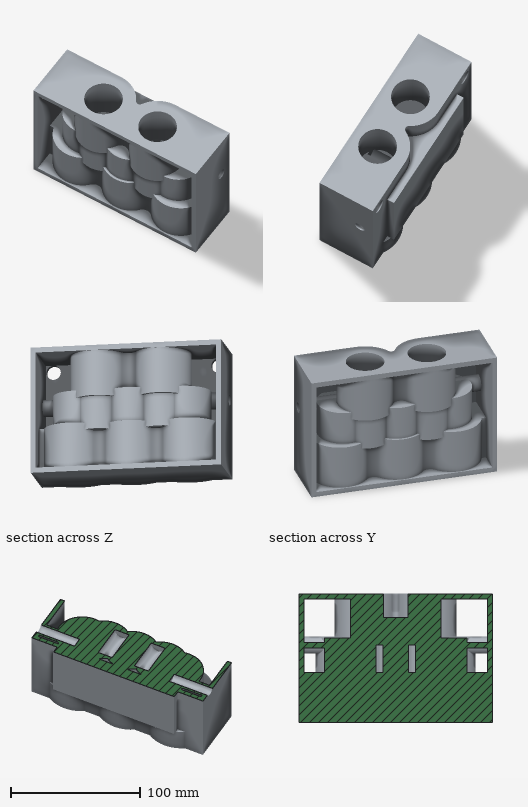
import cadquery as cq
import math

WIDTH = 150.0
DEPTH = 48.0
HEIGHT = 100.0
SIDE_WALL = 3.9
END_WALL = 4.0
BACK_WALL = 4.0
MID_X = WIDTH / 2

PLATE_WIDTH = 105.9
PLATE_BOTTOM = 18.0
PLATE_TOP = 82.0
PLATE_THICKNESS = 6.0

TOP_PITCH = 50.0
TOP_RADIUS = 22.4
TOP_Y = 22.6
TOP_ROW_BOTTOM = 60.2
TOP_VALLEY_RADIUS = 6.6
BORE_DIAMETER = 30.0
BORE_FLOOR = 63.8

CHANNEL_SPACING = 31.6
CHANNEL_RADIUS = 6.0
CHANNEL_OPENING = 6.9
CHANNEL_START = 10.2
CHANNEL_LENGTH = 27.8

HUMP_RADIUS = DEPTH - TOP_Y
NOTCH_VALLEY_RADIUS = 3.0

MIDDLE_BOTTOM = 34.2
MIDDLE_TOP = 66.0
MIDDLE_RADIUS = 21.0
MIDDLE_Y = 24.0
END_COLUMN_RADIUS = 20.5
END_COLUMN_OFFSET = 41.5
END_COLUMN_Y = 27.3

BOTTOM_PITCH = 45.3
BOTTOM_RADIUS = 23.4
BOTTOM_Y = 24.5
BOTTOM_TOP = 39.2
BOTTOM_VALLEY_RADIUS = 6.8
SHELF_Y = 17.2

BULGE_PITCH = 44.0
BULGE_RADIUS = 28.2
BULGE_Y = 24.3
BULGE_VALLEY_RADIUS = 3.0

SLEEVE_DIAMETER = 13.2
SLEEVE_HOLE_DIAMETER = 8.5
SLEEVE_Y = 36.3
SLEEVE_Z = 60.2

CORNER_HOLE_DIAMETER = 11.2
CORNER_HOLE_INSET = 10.0
CORNER_HOLE_Z = 90.5


def block(x0, x1, y0, y1, z0, z1):
    return cq.Workplane("XY").box(x1 - x0, y1 - y0, z1 - z0, centered=False).translate((x0, y0, z0))


def column(x, y, radius, z0, z1):
    return cq.Workplane("XY").circle(radius).extrude(z1 - z0).translate((x, y, z0))


def valley(x0, x1, y, radius, fillet, z0, z1, side):
    """Fill between two equal columns, rounded where they meet; side is -1 for front, +1 for back."""
    half = (x1 - x0) / 2
    fillet_x = x0 + half
    fillet_y = y + side * math.sqrt((radius + fillet) ** 2 - half ** 2)
    wedge = (
        cq.Workplane("XY")
        .polyline([(x0, y), (x1, y), (fillet_x, fillet_y)])
        .close()
        .extrude(z1 - z0)
        .translate((0, 0, z0))
    )
    return wedge.cut(column(fillet_x, fillet_y, fillet, z0, z1))


def column_row(xs, y, radius, fillet, z0, z1, side):
    """Row of equal columns with the valleys between neighbours rounded on one side."""
    row = column(xs[0], y, radius, z0, z1)
    for left, right in zip(xs, xs[1:]):
        row = row.union(column(right, y, radius, z0, z1))
        row = row.union(valley(left, right, y, radius, fillet, z0, z1, side))
    return row


def open_box():
    cavity_back = DEPTH - BACK_WALL
    cavity = block(SIDE_WALL, WIDTH - SIDE_WALL, 0, cavity_back, END_WALL, HEIGHT - END_WALL)
    return block(0, WIDTH, 0, DEPTH, 0, HEIGHT).cut(cavity)


def back_plate():
    x0 = MID_X - PLATE_WIDTH / 2
    return block(x0, x0 + PLATE_WIDTH, DEPTH, DEPTH + PLATE_THICKNESS, PLATE_BOTTOM, PLATE_TOP)


def middle_row():
    row = column(MID_X, MIDDLE_Y, MIDDLE_RADIUS, MIDDLE_BOTTOM, MIDDLE_TOP)
    for x in top_xs:
        row = row.union(column(x, MIDDLE_Y, MIDDLE_RADIUS, MIDDLE_BOTTOM, MIDDLE_TOP))
    for x in (MID_X - END_COLUMN_OFFSET, MID_X + END_COLUMN_OFFSET):
        row = row.union(column(x, END_COLUMN_Y, END_COLUMN_RADIUS, MIDDLE_BOTTOM, MIDDLE_TOP))
    return row


def back_bulges():
    xs = [MID_X - BULGE_PITCH, MID_X, MID_X + BULGE_PITCH]
    row = column_row(xs, BULGE_Y, BULGE_RADIUS, BULGE_VALLEY_RADIUS, 0, PLATE_BOTTOM, 1)
    return row.intersect(block(0, WIDTH, DEPTH - BACK_WALL, DEPTH + PLATE_THICKNESS, 0, PLATE_BOTTOM))


def back_notch():
    notch = block(top_xs[0], top_xs[1], TOP_Y, DEPTH, PLATE_TOP, HEIGHT)
    humps = column_row(top_xs, TOP_Y, HUMP_RADIUS, NOTCH_VALLEY_RADIUS, PLATE_TOP, HEIGHT, 1)
    return notch.cut(humps)


def bores():
    """Blind bores from the top face, one in each top column."""
    return (
        cq.Workplane("XY")
        .workplane(offset=BORE_FLOOR)
        .pushPoints([(x, TOP_Y) for x in top_xs])
        .circle(BORE_DIAMETER / 2)
        .extrude(HEIGHT - BORE_FLOOR)
    )


def channels():
    """Round channels along Y, centred just below the bore floors so that they open into them."""
    drop = math.sqrt(CHANNEL_RADIUS ** 2 - (CHANNEL_OPENING / 2) ** 2)
    half = CHANNEL_SPACING / 2
    return (
        cq.Workplane("XZ", origin=(MID_X, CHANNEL_START, BORE_FLOOR - drop))
        .pushPoints([(-half, 0), (half, 0)])
        .circle(CHANNEL_RADIUS)
        .extrude(-CHANNEL_LENGTH)
    )


def side_rods(diameter):
    """One rod along X at each side, from the outer face to the axis of the end column."""
    length = MID_X - END_COLUMN_OFFSET
    rod = cq.Workplane("YZ").center(SLEEVE_Y, SLEEVE_Z).circle(diameter / 2).extrude(length)
    return rod.union(rod.mirror("YZ", (MID_X, 0, 0)))


def corner_holes():
    return (
        cq.Workplane("XZ")
        .pushPoints([(x, CORNER_HOLE_Z) for x in (CORNER_HOLE_INSET, WIDTH - CORNER_HOLE_INSET)])
        .circle(CORNER_HOLE_DIAMETER / 2)
        .extrude(-BACK_WALL)
        .translate((0, DEPTH - BACK_WALL, 0))
    )


top_xs = [MID_X - TOP_PITCH / 2, MID_X + TOP_PITCH / 2]
bottom_xs = [MID_X - BOTTOM_PITCH, MID_X, MID_X + BOTTOM_PITCH]

result = open_box()
result = result.union(back_plate())
result = result.union(block(0, WIDTH, SHELF_Y, DEPTH, 0, BOTTOM_TOP))
result = result.union(
    column_row(bottom_xs, BOTTOM_Y, BOTTOM_RADIUS, BOTTOM_VALLEY_RADIUS, 0, BOTTOM_TOP, -1)
)
result = result.union(back_bulges())
result = result.union(middle_row())
result = result.union(
    column_row(top_xs, TOP_Y, TOP_RADIUS, TOP_VALLEY_RADIUS, TOP_ROW_BOTTOM, HEIGHT, -1)
)
result = result.union(block(top_xs[0], top_xs[1], TOP_Y, DEPTH, TOP_ROW_BOTTOM, HEIGHT))
result = result.union(side_rods(SLEEVE_DIAMETER))
result = result.cut(back_notch())
result = result.cut(bores())
result = result.cut(channels())
result = result.cut(side_rods(SLEEVE_HOLE_DIAMETER))
result = result.cut(corner_holes())